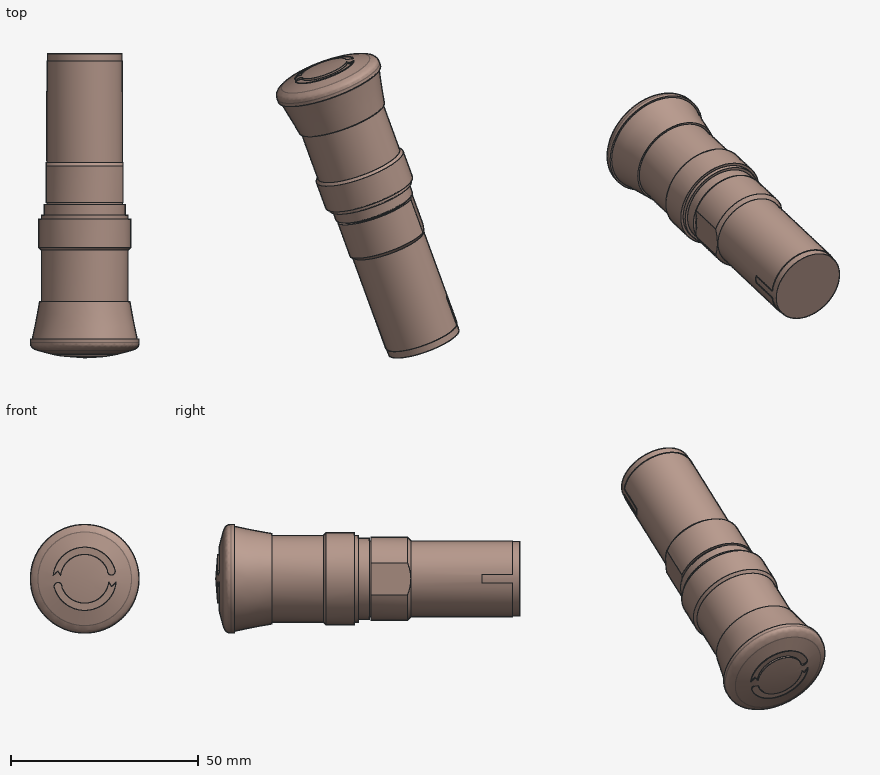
import cadquery as cq
import math

length = 80.9

barrel_radius = 10.1
rim_radius = 9.95
rim_start = length - 1.95
keyway_end = length - 10.0
keyway_width = 2.2

nut_radius = 11.1
nut_front = 41.3
nut_rear = 52.05
nut_chamfer = nut_radius - barrel_radius
flat_distance = 10.24

neck_radius = 10.85
neck_rear = 40.9
step_radius = 11.6
step_rear = 38.0
collar_radius = 12.3
collar_rear = 36.9
collar_front = 28.65
collar_chamfer = collar_radius - step_radius

skirt_rear = 15.0
skirt_rear_radius = 12.1
skirt_middle_radius = 12.95
skirt_front_radius = 14.0
cap_radius = 14.5
cap_rear = 5.0
cap_rounding_start = 4.05
dome_edge_radius = 12.5
dome_height = 1.95

arrow_inner_radius = 6.5
arrow_outer_radius = 8.4
arrow_floor = 1.05
head_tip_angle = 8
head_outer_angle = 16
head_inner_angle = 20
tail_outer_angle = 174
tail_inner_angle = 172
tail_notch_angle = 164


def turned_body():
    """Revolve the stepped profile about the Y axis."""
    sphere_radius = (dome_edge_radius**2 + dome_height**2) / (2 * dome_height)
    half_edge = dome_edge_radius / 2
    dome_middle = sphere_radius - math.sqrt(sphere_radius**2 - half_edge**2)
    dome_edge_direction = (dome_height - sphere_radius, -dome_edge_radius)
    profile = (
        cq.Workplane("XY")
        .moveTo(0, length)
        .lineTo(rim_radius, length)
        .lineTo(rim_radius, rim_start)
        .lineTo(barrel_radius, rim_start)
        .lineTo(barrel_radius, nut_rear)
        .lineTo(nut_radius, nut_rear - nut_chamfer)
        .lineTo(nut_radius, nut_front)
        .lineTo(barrel_radius, nut_front)
        .lineTo(barrel_radius, neck_rear)
        .lineTo(neck_radius, neck_rear)
        .lineTo(neck_radius, step_rear)
        .lineTo(step_radius, step_rear)
        .lineTo(step_radius, collar_rear)
        .lineTo(collar_radius, collar_rear)
        .lineTo(collar_radius, collar_front + collar_chamfer)
        .lineTo(step_radius, collar_front)
        .lineTo(step_radius, skirt_rear)
        .lineTo(skirt_rear_radius, skirt_rear)
        .threePointArc(
            (skirt_middle_radius, (skirt_rear + cap_rear) / 2),
            (skirt_front_radius, cap_rear),
        )
        .lineTo(cap_radius, cap_rear)
        .lineTo(cap_radius, cap_rounding_start)
        .spline(
            [(dome_edge_radius, dome_height)],
            tangents=[(0, -1), dome_edge_direction],
            includeCurrent=True,
        )
        .threePointArc((half_edge, dome_middle), (0, 0))
        .close()
    )
    return profile.revolve(360, (0, 0, 0), (0, 1, 0))


def side_block(side, distance, y_start, y_end, width):
    """Cutting block lying outside the plane x = side * distance."""
    thickness = cap_radius
    return cq.Workplane("XY").box(thickness, y_end - y_start, width).translate(
        (side * (distance + thickness / 2), (y_start + y_end) / 2, 0)
    )


def polar(radius, angle):
    """Point in the XZ plane at an angle in degrees from +X toward +Z."""
    return radius * math.cos(math.radians(angle)), radius * math.sin(math.radians(angle))


def arrow_cutter():
    """Arrow band with a rounded head and a notched tail, reaching down to the recess floor."""
    middle_radius = (arrow_inner_radius + arrow_outer_radius) / 2
    outline = (
        cq.Workplane("XZ", origin=(0, arrow_floor, 0))
        .moveTo(*polar(arrow_outer_radius, head_outer_angle))
        .threePointArc(polar(arrow_outer_radius, 90), polar(arrow_outer_radius, tail_outer_angle))
        .lineTo(*polar(middle_radius, tail_notch_angle))
        .lineTo(*polar(arrow_inner_radius, tail_inner_angle))
        .threePointArc(polar(arrow_inner_radius, 90), polar(arrow_inner_radius, head_inner_angle))
        .threePointArc(
            polar(middle_radius, head_tip_angle),
            polar(arrow_outer_radius, head_outer_angle),
        )
        .close()
    )
    return outline.extrude(arrow_floor)


rim_core = cq.Workplane("XZ").circle(rim_radius).extrude(-length)

result = turned_body()
for side in (-1, 1):
    flat = side_block(side, flat_distance, nut_front, nut_rear, 2 * nut_radius)
    keyway = side_block(side, 0, keyway_end, rim_start, keyway_width).cut(rim_core)
    result = result.cut(flat).cut(keyway)

arrow = arrow_cutter()
for turn in (0, 180):
    result = result.cut(arrow.rotate((0, 0, 0), (0, 1, 0), turn))